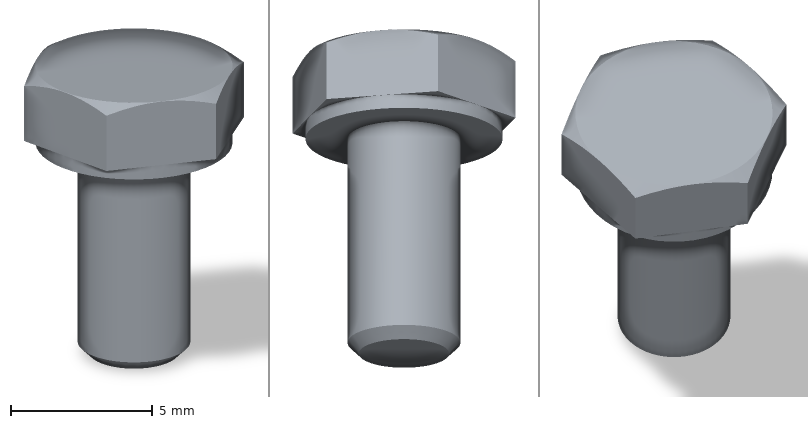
import cadquery as cq
import math

across_flats = 7.0
head_height = 2.93
collar_height = 0.5
collar_diameter = 6.98
shank_diameter = 4.0
shank_length = 8.0
tip_chamfer = 0.4
crown_angle = 30.0
hexagon_sides = 6
envelope_clearance = 1.0

across_corners = across_flats / math.cos(math.pi / hexagon_sides)
hex_height = head_height - collar_height


def make_crown_envelope():
    """Solid of revolution whose sloping top edge trims the hexagon corners."""
    flat_radius = collar_diameter / 2
    envelope_radius = across_corners / 2 + envelope_clearance
    crown_drop = (envelope_radius - flat_radius) * math.tan(math.radians(crown_angle))
    return (
        cq.Workplane("XZ")
        .moveTo(0, 0)
        .lineTo(envelope_radius, 0)
        .lineTo(envelope_radius, head_height - crown_drop)
        .lineTo(flat_radius, head_height)
        .lineTo(0, head_height)
        .close()
        .revolve(360, (0, 0, 0), (0, 1, 0))
    )


def make_head():
    """Hexagon with two corners on the X axis and a conically relieved top."""
    hexagon = (
        cq.Workplane("XY")
        .workplane(offset=collar_height)
        .polygon(hexagon_sides, across_corners)
        .extrude(hex_height)
    )
    return hexagon.intersect(make_crown_envelope())


def make_collar():
    """Round bearing collar under the hexagon."""
    return cq.Workplane("XY").circle(collar_diameter / 2).extrude(collar_height)


def make_shank():
    """Plain cylindrical shank with a chamfered tip."""
    return (
        cq.Workplane("XY")
        .circle(shank_diameter / 2)
        .extrude(-shank_length)
        .faces("<Z")
        .chamfer(tip_chamfer)
    )


result = make_head().union(make_collar()).union(make_shank())